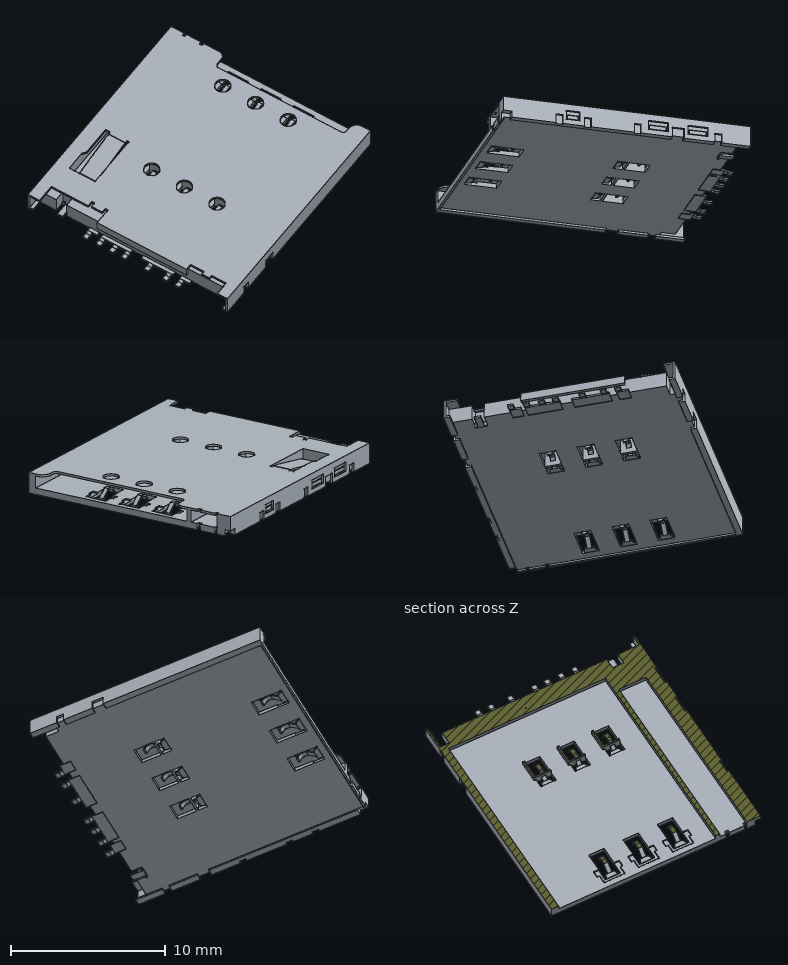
import cadquery as cq
import math

WIDTH = 15.5
TOTAL_LENGTH = 16.75
HEIGHT = 1.42
SHEET = 0.15
REAR_Y = TOTAL_LENGTH / 2
PIN_TIP_Y = -TOTAL_LENGTH / 2
SIDE_X = WIDTH / 2
COVER_Z = HEIGHT - SHEET

PRONG_Y = -8.28
LEFT_PRONG_X = -6.84
RIGHT_PRONG_X = 6.96
LEFT_NOTCH_Y = -6.9
LIP_X0 = -2.74
LIP_X1 = 4.2
LIP_Y = -7.74
LIP_BOTTOM_Z = 0.81
FLANGE_WIDTH = 0.42

TAB_X0 = -3.98
TAB_EDGE_Y = -6.83
TAB_SLIT_WIDTH = 0.2
TAB_SLIT_Y = -6.48

RIGHT_NOTCH_Y = -7.5
EDGE_POCKET_Y = -7.25
EDGE_POCKETS = [(LIP_X1, 5.22), (5.83, 6.93)]

RELIEF_X0 = -3.54
RELIEF_X1 = 6.47
RELIEF_Y = 7.22
RELIEF_INNER_RADIUS = 0.25
RELIEF_LEFT_RADIUS = 0.45
RELIEF_RIGHT_RADIUS = 0.62
REAR_NICK_DEPTH = 0.2
REAR_NICKS = [(-6.63, 0.16), (-5.31, 0.22)]

HOUSING_FRONT_Y = -7.53
HOUSING_BOTTOM_Z = 0.14
FLOOR_Z = 0.45
CARD_X0 = -4.4
CARD_X1 = 7.2
PRONG_RECESS_Y = -6.6
CARD_FRONT_Y = -6.2
SWITCH_GAP_X0 = -6.04
SWITCH_GAP_X1 = -5.24
SWITCH_GAP_Y = -6.75
REAR_STRIP_HEIGHT = 0.43
REAR_NOTCH_LENGTH = 0.57
REAR_NOTCH_DEPTH = FLANGE_WIDTH

CONTACT_PITCH = 2.54
CONTACT_MIDDLE_X = 0.3
CONTACT_XS = [CONTACT_MIDDLE_X + i * CONTACT_PITCH for i in (-1, 0, 1)]
HOLE_DIAMETER = 1.05
REAR_HOLE_Y = 6.15
MIDDLE_HOLE_Y = -2.13
REAR_TIP_Y = 6.03
MIDDLE_TIP_Y = -2.47
ARM_LENGTH = 1.68
ARM_WIDTH = 0.33
ARM_ROOT_WIDTH = 0.9
ARM_ROOT_END_WIDTH = 0.62
ARM_ROOT_DROP = 0.06
ARM_LAND_LENGTH = 0.24
ARM_ROOT_LENGTH = 0.38
ARM_THICKNESS = 0.12
ARM_PEAK_Z = 0.8
ARM_NOSE_RADIUS = 0.45
SLOT_WIDTH = 1.12
SLOT_TIP_CLEARANCE = 0.48
SCREEN_THICKNESS = 0.15
SCREEN_Y = -1.57
FRAME_WIDTH = 1.53
FRAME_Y = 7.97
FRAME_DEPTH = 0.1
FRAME_FOOT_WIDTH = 1.88
FRAME_FOOT_Y = 7.35

WINDOW_X0 = -6.72
WINDOW_UPPER_X0 = -6.53
WINDOW_X1 = -4.73
WINDOW_Y0 = -5.0
WINDOW_Y1 = -1.05
WINDOW_STEP_Y0 = -3.5
WINDOW_STEP_Y1 = -3.27
FLAP_X0 = -6.19
FLAP_X1 = -4.87
FLAP_HINGE_Y = -1.25
FLAP_BEND_Y = -1.58
FLAP_END_Y = -4.6
FLAP_DROP = 0.54
FLAP_HINGE_STEP = 0.03

LATCH_WINDOWS = [(3.22, 4.14), (-2.72, -1.39), (-5.4, -4.06)]
LATCH_Z0 = 0.34
LATCH_Z1 = 0.96
LATCH_PAD_Z0 = 0.4
LATCH_PAD_Z1 = 0.68
LATCH_PAD_INSET = 0.1
LATCH_PAD_THICKNESS = 0.08
EDGE_NOTCH_HEIGHT = 0.62
EDGE_NOTCHES = [(4.37, 4.83), (2.46, 2.92), (-0.88, -0.45)]
THROUGH_NOTCHES = [(-6.35, -5.86, 0.62), (-3.8, -2.99, 0.69)]

PIN_XS = [-3.26, -2.24, -1.22, -0.28, 1.5, 2.93, 3.89]
PIN_WIDTH = 0.37
PIN_THICKNESS = 0.13
PIN_TOP_Z = 0.22
PIN_BEND_Y0 = -7.8
PIN_BEND_Y1 = -8.02
PIN_ROOT_Y = -7.0
CARRIER_Y = -7.8
CARRIER_BARS = [(-3.44, -2.7), (-2.42, -0.1), (0.7, 3.2), (3.7, 4.48)]
SWITCH_PIN_X0 = -5.85
SWITCH_PIN_X1 = -5.42
SWITCH_PIN_Y = -7.72
SWITCH_LEDGE_HEIGHT = 0.34
SWITCH_LEDGE_WIDTH = 0.2
SWITCH_LEDGE_DEPTH = 0.1


def box(x0, x1, y0, y1, z0, z1):
    """Block between two opposite corners."""
    return cq.Workplane("XY").box(x1 - x0, y1 - y0, z1 - z0, centered=False).translate((x0, y0, z0))


def side_profile(points, x_centre, width):
    """Extrude a closed (Y, Z) outline symmetrically about a plane of constant X."""
    plane = cq.Workplane("YZ", origin=(x_centre - width / 2, 0, 0))
    return plane.polyline(points).close().extrude(width)


def cover_outline():
    """Flat cover, from its front prongs to its rear relief."""
    cover = box(-SIDE_X, SIDE_X, PRONG_Y, REAR_Y, COVER_Z, HEIGHT)
    cover = cover.cut(box(LEFT_PRONG_X, LIP_X0, PRONG_Y, LEFT_NOTCH_Y, COVER_Z, HEIGHT))
    cover = cover.cut(box(LIP_X0, LIP_X1, PRONG_Y, LIP_Y, COVER_Z, HEIGHT))
    cover = cover.cut(box(LIP_X1, RIGHT_PRONG_X, PRONG_Y, RIGHT_NOTCH_Y, COVER_Z, HEIGHT))
    for x0, x1 in EDGE_POCKETS:
        cover = cover.cut(box(x0, x1, PRONG_Y, EDGE_POCKET_Y, COVER_Z, HEIGHT))
    cover = cover.cut(box(TAB_X0, LIP_X0, PRONG_Y, TAB_EDGE_Y, COVER_Z, HEIGHT))
    for slit_x in (TAB_X0, LIP_X0 - TAB_SLIT_WIDTH):
        cover = cover.cut(box(slit_x, slit_x + TAB_SLIT_WIDTH, PRONG_Y, TAB_SLIT_Y, COVER_Z, HEIGHT))
    return cover.cut(rear_relief())


def rear_relief():
    """Thumb relief with rounded inner corners and rounded ends at the rear edge."""
    diagonal = math.sqrt(0.5)
    inner = RELIEF_INNER_RADIUS
    left = RELIEF_LEFT_RADIUS
    right = RELIEF_RIGHT_RADIUS
    inner_sag = inner * (1 - diagonal)
    left_sag = left * (1 - diagonal)
    right_sag = right * (1 - diagonal)
    return (
        cq.Workplane("XY", origin=(0, 0, COVER_Z))
        .moveTo(RELIEF_X0 - left, REAR_Y)
        .threePointArc((RELIEF_X0 - left_sag, REAR_Y - left_sag), (RELIEF_X0, REAR_Y - left))
        .lineTo(RELIEF_X0, RELIEF_Y + inner)
        .threePointArc((RELIEF_X0 + inner_sag, RELIEF_Y + inner_sag), (RELIEF_X0 + inner, RELIEF_Y))
        .lineTo(RELIEF_X1 - inner, RELIEF_Y)
        .threePointArc((RELIEF_X1 - inner_sag, RELIEF_Y + inner_sag), (RELIEF_X1, RELIEF_Y + inner))
        .lineTo(RELIEF_X1, REAR_Y - right)
        .threePointArc((RELIEF_X1 + right_sag, REAR_Y - right_sag), (RELIEF_X1 + right, REAR_Y))
        .close()
        .extrude(SHEET)
    )


def spring_window():
    """Cover opening around the spring flap."""
    return (
        cq.Workplane("XY", origin=(0, 0, COVER_Z))
        .polyline([
            (WINDOW_X0, WINDOW_Y0),
            (WINDOW_X1, WINDOW_Y0),
            (WINDOW_X1, WINDOW_Y1),
            (FLAP_X1, WINDOW_Y1),
            (FLAP_X1, FLAP_HINGE_Y),
            (FLAP_X0, FLAP_HINGE_Y),
            (FLAP_X0, WINDOW_Y1),
            (WINDOW_UPPER_X0, WINDOW_Y1),
            (WINDOW_UPPER_X0, WINDOW_STEP_Y1),
            (WINDOW_X0, WINDOW_STEP_Y0),
        ])
        .close()
        .extrude(SHEET)
    )


def spring_flap():
    """Flap hinged at the rear of the window and sloping down toward the front."""
    outline = [
        (FLAP_HINGE_Y, HEIGHT - FLAP_HINGE_STEP),
        (FLAP_BEND_Y, HEIGHT - FLAP_HINGE_STEP),
        (FLAP_END_Y, HEIGHT - FLAP_DROP),
        (FLAP_END_Y, COVER_Z - FLAP_DROP),
        (FLAP_BEND_Y, COVER_Z),
        (FLAP_HINGE_Y, COVER_Z),
    ]
    return side_profile(outline, (FLAP_X0 + FLAP_X1) / 2, FLAP_X1 - FLAP_X0)


def side_wall(side):
    """Side wall and its inward bottom flange; side is -1 for -X and +1 for +X."""
    outer = side * SIDE_X
    wall_inner = side * (SIDE_X - SHEET)
    flange_inner = side * (SIDE_X - FLANGE_WIDTH)
    wall = box(min(outer, wall_inner), max(outer, wall_inner), PRONG_Y, REAR_Y, 0, HEIGHT)
    flange_x0 = min(outer, flange_inner)
    flange_x1 = max(outer, flange_inner)
    wall = wall.union(box(flange_x0, flange_x1, PRONG_Y, REAR_Y, 0, SHEET))
    for y0, y1, height in THROUGH_NOTCHES:
        wall = wall.cut(box(min(outer, wall_inner), max(outer, wall_inner), y0, y1, 0, height))
        wall = wall.cut(box(flange_x0, flange_x1, y0, y1, 0, HOUSING_BOTTOM_Z))
    return wall


def shell():
    """Cover, side walls, front lip and rear strip of the sheet-metal shell."""
    left_wall = side_wall(-1)
    wall_inner_x = -SIDE_X + SHEET
    for y0, y1 in EDGE_NOTCHES:
        left_wall = left_wall.cut(box(-SIDE_X, wall_inner_x, y0, y1, 0, EDGE_NOTCH_HEIGHT))
    for y0, y1 in LATCH_WINDOWS:
        left_wall = left_wall.cut(box(-SIDE_X, wall_inner_x, y0, y1, LATCH_Z0, LATCH_Z1))
    cover = cover_outline().cut(spring_window())
    for hole_y in (REAR_HOLE_Y, MIDDLE_HOLE_Y):
        for hole_x in CONTACT_XS:
            hole = cq.Workplane("XY", origin=(hole_x, hole_y, COVER_Z)).circle(HOLE_DIAMETER / 2)
            cover = cover.cut(hole.extrude(SHEET))
    lip = box(LIP_X0, LIP_X1, LIP_Y, HOUSING_FRONT_Y, LIP_BOTTOM_Z, HEIGHT)
    rear_strip = box(-SIDE_X, SIDE_X, REAR_Y - SHEET, REAR_Y, 0, REAR_STRIP_HEIGHT)
    body = cover.union(spring_flap()).union(left_wall).union(side_wall(1))
    return body.union(lip).union(rear_strip)


def latch_pads():
    """Raised pads on the housing, seated in the latch windows of the -X wall."""
    pad_x0 = -SIDE_X + SHEET - LATCH_PAD_THICKNESS
    pads = cq.Workplane("XY")
    for y0, y1 in LATCH_WINDOWS:
        pads = pads.union(box(
            pad_x0, -SIDE_X + SHEET, y0 + LATCH_PAD_INSET, y1 - LATCH_PAD_INSET, LATCH_PAD_Z0, LATCH_PAD_Z1
        ))
    return pads


def contact_slot(x, tip_y):
    """Opening through the housing floor for one contact arm."""
    y0 = tip_y - SLOT_TIP_CLEARANCE
    return box(x - SLOT_WIDTH / 2, x + SLOT_WIDTH / 2, y0, tip_y + ARM_LENGTH, 0, FLOOR_Z)


def contact_screen(x):
    """Two upright walls beside and behind the tip of a middle contact."""
    x0 = x - SLOT_WIDTH / 2
    x1 = x + SLOT_WIDTH / 2
    y0 = MIDDLE_TIP_Y - SLOT_TIP_CLEARANCE
    y1 = SCREEN_Y + SCREEN_THICKNESS
    side = box(x1, x1 + SCREEN_THICKNESS, y0, y1, HOUSING_BOTTOM_Z, COVER_Z)
    return side.union(box(x0, x1, SCREEN_Y, y1, HOUSING_BOTTOM_Z, COVER_Z))


def rear_contact_frame(x):
    """Shallow stepped pocket around the root of a rear contact."""
    pocket_z = FLOOR_Z - FRAME_DEPTH
    front_y = REAR_TIP_Y + ARM_LENGTH / 2
    frame = box(x - FRAME_WIDTH / 2, x + FRAME_WIDTH / 2, front_y, FRAME_Y, pocket_z, FLOOR_Z)
    foot_half = FRAME_FOOT_WIDTH / 2
    return frame.union(box(x - foot_half, x + foot_half, front_y, FRAME_FOOT_Y, pocket_z, FLOOR_Z))


def housing():
    """Moulded housing with card cavity, spring channel, contact openings and screens."""
    inner_x = SIDE_X - SHEET
    body = box(-inner_x, inner_x, HOUSING_FRONT_Y, REAR_Y, HOUSING_BOTTOM_Z, COVER_Z)
    body = body.cut(box(RIGHT_PRONG_X, inner_x, HOUSING_FRONT_Y, PRONG_RECESS_Y, HOUSING_BOTTOM_Z, COVER_Z))
    body = body.cut(box(CARD_X0, CARD_X1, CARD_FRONT_Y, REAR_Y, FLOOR_Z, COVER_Z))
    body = body.cut(box(WINDOW_X0, WINDOW_X1, WINDOW_Y0, REAR_Y, FLOOR_Z, COVER_Z))
    body = body.cut(box(
        SWITCH_GAP_X0, SWITCH_GAP_X1, HOUSING_FRONT_Y, SWITCH_GAP_Y, HOUSING_BOTTOM_Z, COVER_Z
    ))
    for x in CONTACT_XS:
        body = body.cut(rear_contact_frame(x))
        body = body.cut(contact_slot(x, REAR_TIP_Y))
        body = body.cut(contact_slot(x, MIDDLE_TIP_Y))
        body = body.union(contact_screen(x))
    return body


def contact_arm(x, tip_y):
    """Cantilever contact: wide root, narrow rising beam and a nose curling down at the tip."""
    root_y = tip_y + ARM_LENGTH
    beam_y = root_y - ARM_ROOT_LENGTH
    root_bottom_z = FLOOR_Z - FRAME_DEPTH - ARM_ROOT_DROP - ARM_THICKNESS
    root_top_z = root_bottom_z + ARM_THICKNESS
    outer = ARM_NOSE_RADIUS
    inner = outer - ARM_THICKNESS
    centre_y = tip_y + outer
    centre_z = ARM_PEAK_Z - outer
    diagonal = math.sqrt(0.5)
    land_y = centre_y + ARM_LAND_LENGTH
    root = (
        cq.Workplane("XY", origin=(x, 0, root_bottom_z))
        .polyline([
            (-ARM_ROOT_WIDTH / 2, root_y),
            (-ARM_ROOT_END_WIDTH / 2, beam_y),
            (ARM_ROOT_END_WIDTH / 2, beam_y),
            (ARM_ROOT_WIDTH / 2, root_y),
        ])
        .close()
        .extrude(ARM_THICKNESS)
    )
    beam = (
        cq.Workplane("YZ", origin=(x - ARM_WIDTH / 2, 0, 0))
        .moveTo(beam_y, root_bottom_z)
        .lineTo(beam_y, root_top_z)
        .lineTo(land_y, ARM_PEAK_Z)
        .lineTo(centre_y, ARM_PEAK_Z)
        .threePointArc((centre_y - outer * diagonal, centre_z + outer * diagonal), (tip_y, centre_z))
        .lineTo(tip_y + ARM_THICKNESS, centre_z)
        .threePointArc(
            (centre_y - inner * diagonal, centre_z + inner * diagonal), (centre_y, ARM_PEAK_Z - ARM_THICKNESS)
        )
        .lineTo(land_y, ARM_PEAK_Z - ARM_THICKNESS)
        .close()
        .extrude(ARM_WIDTH)
    )
    return root.union(beam)


def solder_pins():
    """Row of stepped solder feet and the carrier bars they leave from."""
    foot_top_z = PIN_THICKNESS
    outline = [
        (PIN_ROOT_Y, PIN_TOP_Z),
        (PIN_BEND_Y0, PIN_TOP_Z),
        (PIN_BEND_Y1, foot_top_z),
        (PIN_TIP_Y, foot_top_z),
        (PIN_TIP_Y, 0),
        (PIN_BEND_Y1, 0),
        (PIN_BEND_Y0, PIN_TOP_Z - PIN_THICKNESS),
        (PIN_ROOT_Y, PIN_TOP_Z - PIN_THICKNESS),
    ]
    pins = cq.Workplane("XY")
    for x in PIN_XS:
        pins = pins.union(side_profile(outline, x, PIN_WIDTH))
    for x0, x1 in CARRIER_BARS:
        pins = pins.union(box(x0, x1, CARRIER_Y, PIN_ROOT_Y, PIN_TOP_Z - PIN_THICKNESS, PIN_TOP_Z))
    return pins


def switch_pin():
    """Detect-switch foot with a small ledge on each side at the back of its gap."""
    foot = box(SWITCH_PIN_X0, SWITCH_PIN_X1, SWITCH_PIN_Y, SWITCH_GAP_Y, 0, SHEET)
    ledge_y0 = SWITCH_GAP_Y - SWITCH_LEDGE_DEPTH
    for x0 in (SWITCH_GAP_X0, SWITCH_GAP_X1 - SWITCH_LEDGE_WIDTH):
        ledge = box(x0, x0 + SWITCH_LEDGE_WIDTH, ledge_y0, SWITCH_GAP_Y, 0, SWITCH_LEDGE_HEIGHT)
        foot = foot.union(ledge)
    return foot


def rear_cuts():
    """Two nicks in the rear edge and the lower corner notch at the rear of the -X wall."""
    cuts = box(-SIDE_X, -SIDE_X + REAR_NOTCH_DEPTH, REAR_Y - REAR_NOTCH_LENGTH, REAR_Y, 0, REAR_STRIP_HEIGHT)
    for x, width in REAR_NICKS:
        cuts = cuts.union(box(x - width / 2, x + width / 2, REAR_Y - REAR_NICK_DEPTH, REAR_Y, 0, HEIGHT))
    return cuts


assembly = shell().union(housing()).union(latch_pads()).cut(rear_cuts())
for contact_x in CONTACT_XS:
    assembly = assembly.union(contact_arm(contact_x, REAR_TIP_Y))
    assembly = assembly.union(contact_arm(contact_x, MIDDLE_TIP_Y))
result = assembly.union(solder_pins()).union(switch_pin())